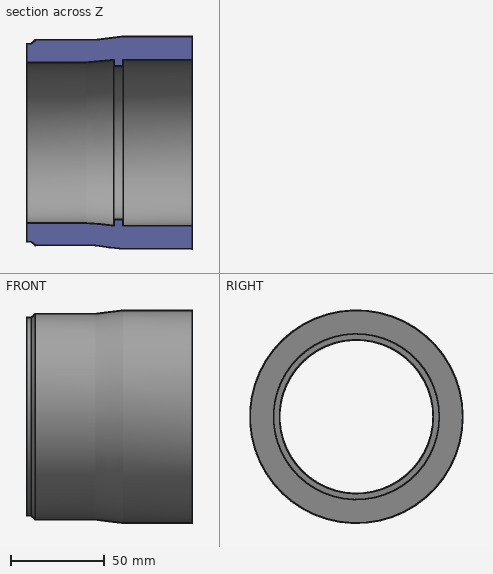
import cadquery as cq

length = 88.7
body_radius = 56.9
spigot_radius = 55.1
nose_radius = 53.0
nose_length = 2.5
chamfer_end = 4.8
taper_start = 36.9
taper_length = 14.8
taper_end = taper_start + taper_length

entry_radius = 42.9
stop_radius = 41.0
socket_radius = 44.3
stop_width = 5.0
stop_end = taper_end
stop_start = stop_end - stop_width
flare_start = stop_start - taper_length

half_section = [
    (0, entry_radius),
    (0, nose_radius),
    (nose_length, nose_radius),
    (chamfer_end, spigot_radius),
    (taper_start, spigot_radius),
    (taper_end, body_radius),
    (length, body_radius),
    (length, socket_radius),
    (stop_end, socket_radius),
    (stop_end, stop_radius),
    (stop_start, stop_radius),
    (stop_start, socket_radius),
    (flare_start, entry_radius),
]

axis_start = (0, 0, 0)
axis_end = (1, 0, 0)
result = cq.Workplane("XY").polyline(half_section).close().revolve(360, axis_start, axis_end)